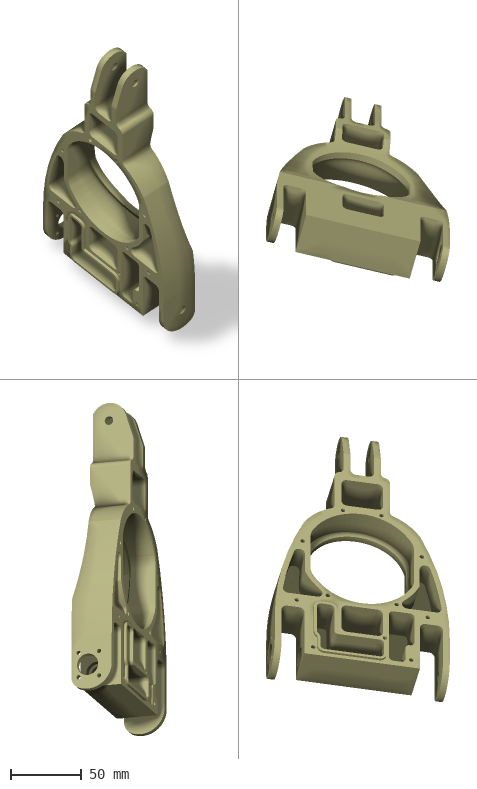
import cadquery as cq
import math


height = 224.5
depth = 30.0
wall = 4.0
arm_thickness = 5.0
corner_radius = 4.0
block_pocket_radius = 3.1

arm_outer = 63.3
arm_inner = arm_outer - arm_thickness
arm_axis_y = 18.0
arm_tip_radius = arm_axis_y
arm_heel_radius = 9.0
arm_axis_z = arm_tip_radius
block_half = 41.8
block_bottom = 7.9
slot_top = 49.8

bore_z = 102.5
bore_radius = 41.3
bore_flat = 37.5
bore_blend_radius = 14.4
lip_radius = 36.5
lip_flat = 35.5
flank_start_z = 38.6
flank_end_x = 42.2
flank_end_z = 129.3

neck_half = 20.0
neck_foot_z = 146.5
shell_arc_point = (32.5, 139.9)
fork_floor_z = 179.5
shoulder_mid_z = 180.0
shoulder_radius = 4.0
prong_inner = 8.5
prong_outer = prong_inner + arm_thickness
prong_axis_y = 18.2
prong_tip_radius = 13.0
prong_axis_z = height - prong_tip_radius
prong_bend_z = 197.5
prong_bend_radius = 6.5
prong_hole_radius = 3.1

scoop_z = 115.8
scoop_radius = 175.0
scoop_depth = 6.5
floor_thickness = 5.0

window_half = 15.0
upper_window_z = (150.0, 173.5)
lower_window_z = (33.0, 57.2)
side_pocket_bottom = 62.0
side_pocket_top = 104.0
side_pocket_radius = 3.8
rim_width = 2.0
rim_height = 2.0

screw_radius = 1.5
screw_depth = 9.0
left_arm_bore_radius = 7.9
bearing_seat_depth = 5.0
block_bore_radius = 5.8
block_bore_depth = 9.9
right_arm_hole_radius = 3.4
flange_screw_y = 17.0
flange_half_y = 7.6
flange_half_z = 9.0

match_tolerance = 0.02


def prism(sketch, front, back):
    """Extrude an X-Z outline from Y = front to Y = back."""
    return sketch.extrude(front - back).translate((0, front, 0))


def round_corners(solid, corners, radius):
    """Round the edges along Y that stand at the given (x, z) corners."""
    def at_corner(edge):
        middle = edge.Center()
        return any(math.hypot(middle.x - x, middle.z - z) < match_tolerance for x, z in corners)

    return solid.newObject([e for e in solid.edges("|Y").vals() if at_corner(e)]).fillet(radius)


def both_sides(solid):
    return solid.union(solid.mirror("YZ"))


def x_cylinder(radius, start, end, y, z):
    return cq.Workplane("YZ").center(y, z).circle(radius).extrude(end - start).translate((start, 0, 0))


def on_circle(radius, x):
    """Height above a circle's centre at the horizontal offset x."""
    return math.sqrt(radius**2 - x**2)


flank_drop = arm_outer - flank_end_x
flank_rise = flank_end_z - flank_start_z
flank_radius = (flank_drop**2 + flank_rise**2) / (2 * flank_drop)
flank_center_x = arm_outer - flank_radius


def flank_x(z, inset=0.0):
    return flank_center_x + on_circle(flank_radius - inset, z - flank_start_z)


def make_plate():
    flank_mid_z = (flank_start_z + flank_end_z) / 2
    shoulder_x = (neck_half + prong_outer) / 2
    swing = math.acos(1 - (shoulder_x - prong_outer) / shoulder_radius)
    half_rise = shoulder_radius * math.sin(swing)
    arc_x = shoulder_radius * (1 - math.cos(swing / 2))
    arc_z = half_rise - shoulder_radius * math.sin(swing / 2)
    prong_foot_z = shoulder_mid_z + half_rise
    half = (
        cq.Workplane("XZ")
        .moveTo(0, block_bottom)
        .lineTo(block_half, block_bottom)
        .lineTo(block_half, slot_top)
        .lineTo(arm_inner, slot_top)
        .lineTo(arm_inner, flank_start_z)
        .lineTo(arm_outer, flank_start_z)
        .threePointArc((flank_x(flank_mid_z), flank_mid_z), (flank_end_x, flank_end_z))
        .threePointArc(shell_arc_point, (neck_half, neck_foot_z))
        .lineTo(neck_half, shoulder_mid_z - half_rise)
        .threePointArc((neck_half - arc_x, shoulder_mid_z - arc_z), (shoulder_x, shoulder_mid_z))
        .threePointArc((prong_outer + arc_x, shoulder_mid_z + arc_z), (prong_outer, prong_foot_z))
        .lineTo(prong_inner, prong_foot_z)
        .lineTo(prong_inner, fork_floor_z)
        .lineTo(0, fork_floor_z)
        .close()
    )
    plate = prism(half, 0, depth)
    plate = round_corners(plate, [(neck_half, neck_foot_z)], shoulder_radius)
    slot_corners = [(block_half, slot_top), (arm_inner, slot_top), (prong_inner, fork_floor_z)]
    plate = round_corners(plate, slot_corners, corner_radius)
    return both_sides(plate.union(make_prong(prong_foot_z)))


def make_prong(foot_z):
    """Prong plate with a round tip and a slanted front edge tangent to it."""
    rise = prong_axis_z - prong_bend_z
    reach = math.hypot(prong_axis_y, rise)
    slant = math.atan2(prong_axis_y, rise) - math.asin(prong_tip_radius / reach)
    tangent_y = prong_axis_y - prong_tip_radius * math.cos(slant)
    tangent_z = prong_axis_z + prong_tip_radius * math.sin(slant)
    back_z = prong_axis_z + on_circle(prong_tip_radius, depth - prong_axis_y)
    prong = (
        cq.Workplane("YZ")
        .moveTo(0, foot_z)
        .lineTo(0, prong_bend_z)
        .lineTo(tangent_y, tangent_z)
        .threePointArc((prong_axis_y, height), (depth, back_z))
        .lineTo(depth, foot_z)
        .close()
        .extrude(arm_thickness)
        .translate((prong_inner, 0, 0))
    )
    bend = cq.selectors.NearestToPointSelector(((prong_inner + prong_outer) / 2, 0, prong_bend_z))
    prong = prong.edges("|X").edges(bend).fillet(prong_bend_radius)
    return prong.cut(x_cylinder(prong_hole_radius, 0, arm_outer, prong_axis_y, prong_axis_z))


def make_arm_tips():
    heel_z = arm_axis_z - on_circle(arm_tip_radius, depth - arm_axis_y)
    tip = (
        cq.Workplane("YZ")
        .moveTo(0, flank_start_z)
        .lineTo(0, arm_axis_z)
        .threePointArc((arm_axis_y, 0), (depth, heel_z))
        .lineTo(depth, flank_start_z)
        .close()
        .extrude(arm_thickness)
        .translate((arm_inner, 0, 0))
    )
    heel = cq.selectors.NearestToPointSelector(((arm_inner + arm_outer) / 2, depth, heel_z))
    return both_sides(tip.edges("|X").edges(heel).fillet(arm_heel_radius))


def make_scoop(offset=0.0):
    """Cylinder of the back scoop, grown by an offset towards the front."""
    axis_y = depth - scoop_depth + scoop_radius
    return x_cylinder(scoop_radius + offset, -arm_outer, arm_outer, axis_y, scoop_z)


curved_floor = make_scoop(floor_thickness)


def flatted_disc(radius, flat):
    """Disc around the bore axis with its two sides cut flat."""
    disc = prism(cq.Workplane("XZ").center(0, bore_z).circle(radius), 0, depth)
    limit = cq.Workplane("XY").box(2 * flat, 2 * depth, 2 * height)
    return disc.intersect(limit)


def make_bore():
    """Wide bore from the front, ending on the curved floor that forms the lip."""
    bore = flatted_disc(bore_radius, bore_flat)
    return bore.edges("|Y").fillet(bore_blend_radius).cut(curved_floor)


def make_window(z_range):
    bottom, top = z_range
    sketch = cq.Workplane("XZ").center(0, (bottom + top) / 2).rect(2 * window_half, top - bottom)
    return prism(sketch, 0, depth).edges("|Y").fillet(corner_radius)


def make_side_pocket():
    """Three-sided pocket between the flank and the ring."""
    ring_side = bore_flat + wall
    ring_web = bore_radius + wall
    corner_z = bore_z - on_circle(ring_web, ring_side)
    foot_x = on_circle(ring_web, bore_z - side_pocket_bottom)
    mid_x = (ring_side + foot_x) / 2
    mid_z = (side_pocket_bottom + side_pocket_top) / 2
    sketch = (
        cq.Workplane("XZ")
        .moveTo(ring_side, side_pocket_top)
        .lineTo(ring_side, corner_z)
        .threePointArc((mid_x, bore_z - on_circle(ring_web, mid_x)), (foot_x, side_pocket_bottom))
        .lineTo(flank_x(side_pocket_bottom, wall), side_pocket_bottom)
        .threePointArc((flank_x(mid_z, wall), mid_z), (flank_x(side_pocket_top, wall), side_pocket_top))
        .close()
    )
    return prism(sketch, 0, depth).edges("|Y").fillet(side_pocket_radius)


l_pocket_corners = [
    (-33.2, 54.3),
    (-20.7, 54.3),
    (-20.7, 28.0),
    (15.3, 28.0),
    (15.3, 12.5),
    (-30.8, 12.5),
    (-30.8, 24.7),
    (-33.2, 27.5),
]
right_pocket_corners = [
    (19.3, 57.7),
    (37.7, 57.7),
    (37.7, 28.3),
    (31.2, 28.3),
    (31.2, 12.0),
    (19.3, 12.0),
]


def rounded_pocket(corners, front):
    outline = cq.Workplane("XZ").polyline(corners).close()
    pocket = prism(outline, front, depth - floor_thickness)
    return pocket.edges("|Y").fillet(block_pocket_radius)


def make_rim():
    """Raised band that follows the mouth of the L-shaped pocket."""
    pocket = rounded_pocket(l_pocket_corners, -rim_height)
    mouth = pocket.faces("<Y").wires().toPending()
    return mouth.offset2D(rim_width).extrude(-rim_height)


def make_screw_holes():
    paired = [(14.0, 145.0), (43.0, 111.8), (25.0, 64.5), (47.4, 56.3), (35.5, 14.8)]
    places = [(side * x, z) for x, z in paired for side in (-1, 1)]
    places.append((16.5, 31.9))
    return prism(cq.Workplane("XZ").pushPoints(places).circle(screw_radius), 0, screw_depth)


def make_arm_holes():
    left = x_cylinder(left_arm_bore_radius, -arm_outer, -arm_inner, arm_axis_y, arm_axis_z)
    right = x_cylinder(right_arm_hole_radius, arm_inner, arm_outer, arm_axis_y, arm_axis_z)
    seat_end = bearing_seat_depth - block_half
    bore_end = block_bore_depth - block_half
    seat = x_cylinder(left_arm_bore_radius, -block_half, seat_end, arm_axis_y, arm_axis_z)
    block = x_cylinder(block_bore_radius, -block_half, bore_end, arm_axis_y, arm_axis_z)
    holes = left.union(right).union(seat).union(block)
    for side_y in (-1, 1):
        for side_z in (-1, 1):
            y = flange_screw_y + side_y * flange_half_y
            z = arm_axis_z + side_z * flange_half_z
            holes = holes.union(x_cylinder(screw_radius, -arm_outer, -arm_inner, y, z))
    return holes


result = make_plate().union(make_arm_tips()).union(make_rim())
result = result.cut(make_scoop())
result = result.cut(make_bore())
result = result.cut(flatted_disc(lip_radius, lip_flat))
result = result.cut(both_sides(make_side_pocket()).cut(curved_floor))
result = result.cut(make_window(upper_window_z))
result = result.cut(make_window(lower_window_z))
result = result.cut(rounded_pocket(l_pocket_corners, -rim_height))
result = result.cut(rounded_pocket(right_pocket_corners, 0))
result = result.cut(make_screw_holes()).cut(make_arm_holes())